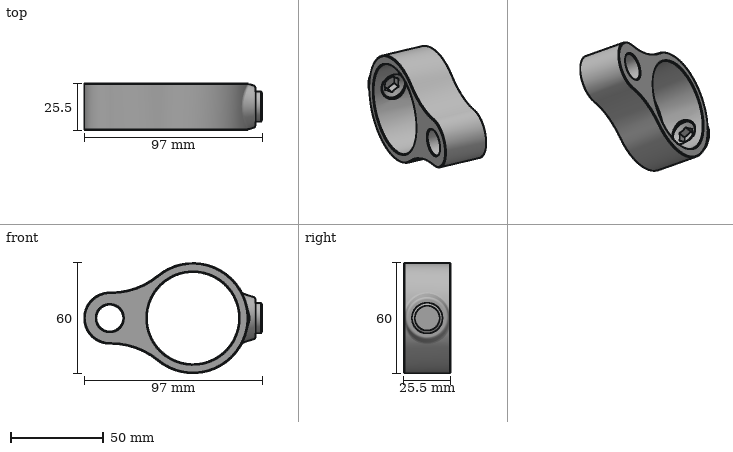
import cadquery as cq
import math

width = 25.5
ring_radius = 30.0
bore_radius = 25.0
eye_offset = 45.2
eye_radius = 14.0
eye_hole_radius = 7.25
neck_radius = 40.0
rim_chamfer = 0.5

boss_face_x = 34.0
boss_face_radius = 11.2
boss_taper = math.radians(18)
boss_root_x = 20.0
boss_edge_fillet = 1.5
boss_root_fillet = 1.5
boss_trim_x = 26.0

shank_radius = 7.475
shank_tip_x = 25.3
collar_radius = 8.33
screw_end_x = 37.75
collar_chamfer_length = 0.8
collar_chamfer_height = 1.6
socket_across_flats = 8.2
socket_depth = 7.0
countersink_radius = 6.9
countersink_floor_radius = 3.0
countersink_depth = 3.0


def revolve_about_x(stations):
    """Solid of revolution about X through a list of (x, radius) stations."""
    first_x = stations[0][0]
    last_x = stations[-1][0]
    profile = cq.Workplane("XY").polyline([(first_x, 0), *stations, (last_x, 0)]).close()
    return profile.revolve(360, (0, 0), (1, 0))


def cylinder_y(radius, length, x):
    """Cylinder along Y at the given x, centred on Y = 0."""
    return cq.Workplane("XZ").center(x, 0).circle(radius).extrude(length / 2, both=True)


def chamfered_bore(radius, x):
    """Cutter for a through bore along Y with a chamfer at both rims."""
    rim = (
        cq.Workplane("XZ", origin=(x, -width / 2, 0))
        .circle(radius + rim_chamfer)
        .workplane(offset=-rim_chamfer)
        .circle(radius)
        .loft()
    )
    return cylinder_y(radius, width, x).union(rim).union(rim.mirror("XZ"))


def make_plate():
    """Ring and eye joined by a neck of two concave arcs, with chamfered rims."""
    neck_center_z = eye_radius + neck_radius
    center_distance = ring_radius + neck_radius
    neck_center_x = -math.sqrt(center_distance**2 - neck_center_z**2)
    tangent_x = neck_center_x * ring_radius / center_distance
    tangent_z = neck_center_z * ring_radius / center_distance

    tangent_angle = math.atan2(-neck_center_z, -neck_center_x)
    mid_angle = (tangent_angle - math.pi / 2) / 2
    neck_mid_x = neck_center_x + neck_radius * math.cos(mid_angle)
    neck_mid_z = neck_center_z + neck_radius * math.sin(mid_angle)

    outline = (
        cq.Workplane("XZ")
        .moveTo(-eye_offset, eye_radius)
        .lineTo(neck_center_x, eye_radius)
        .threePointArc((neck_mid_x, neck_mid_z), (tangent_x, tangent_z))
        .threePointArc((ring_radius, 0), (tangent_x, -tangent_z))
        .threePointArc((neck_mid_x, -neck_mid_z), (neck_center_x, -eye_radius))
        .lineTo(-eye_offset, -eye_radius)
        .threePointArc((-eye_offset - eye_radius, 0), (-eye_offset, eye_radius))
        .close()
    )
    return outline.extrude(width / 2, both=True).faces("<Y or >Y").chamfer(rim_chamfer)


def make_boss():
    """Conical boss blended into the ring surface and trimmed flush with the rim chamfers."""
    root_radius = boss_face_radius + (boss_face_x - boss_root_x) * math.tan(boss_taper)
    cone = revolve_about_x(
        [
            (0, root_radius),
            (boss_root_x, root_radius),
            (boss_face_x, boss_face_radius),
        ]
    )
    cone = cone.faces(">X").edges().fillet(boss_edge_fillet)

    blended = cylinder_y(ring_radius, 2 * width, 0).union(cone)
    root_edges = cq.selectors.BoxSelector(
        (boss_root_x, -root_radius, -root_radius),
        (ring_radius + rim_chamfer, root_radius, root_radius),
    )
    blended = blended.edges(root_edges).fillet(boss_root_fillet)

    trim_length = boss_face_x - boss_trim_x
    trim = cq.Workplane("XY").box(trim_length, width - 2 * rim_chamfer, 2 * ring_radius)
    return blended.intersect(trim.translate((boss_trim_x + trim_length / 2, 0, 0)))


def make_clamp():
    """Plate and boss with the ring bore, the eye hole and the screw hole."""
    body = make_plate().union(make_boss())
    body = body.cut(chamfered_bore(bore_radius, 0))
    body = body.cut(chamfered_bore(eye_hole_radius, -eye_offset))
    screw_hole = cq.Workplane("YZ").circle(shank_radius).extrude(boss_face_x)
    return body.cut(screw_hole)


def make_screw():
    """Screw with a collar outside the boss and a countersunk hex socket at its inner tip."""
    body = revolve_about_x(
        [
            (shank_tip_x, shank_radius),
            (boss_face_x, shank_radius),
            (boss_face_x, collar_radius),
            (screw_end_x - collar_chamfer_length, collar_radius),
            (screw_end_x, collar_radius - collar_chamfer_height),
        ]
    )
    countersink = revolve_about_x(
        [
            (shank_tip_x, countersink_radius),
            (shank_tip_x + countersink_depth, countersink_floor_radius),
        ]
    )
    socket = (
        cq.Workplane("YZ", origin=(shank_tip_x, 0, 0))
        .transformed(rotate=(0, 0, 30))
        .polygon(6, socket_across_flats / math.cos(math.pi / 6))
        .extrude(socket_depth)
    )
    return body.cut(countersink).cut(socket)


clamp = make_clamp()
screw = make_screw()
result = cq.Compound.makeCompound([clamp.val(), screw.val()])